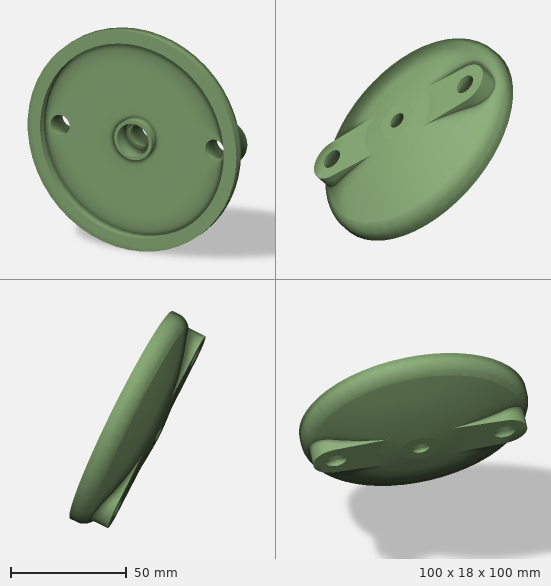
import cadquery as cq
import math

disc_radius = 50.0
rim_height = 3.0
shoulder_radius = 7.0
shoulder_height = 9.1
total_height = 18.0

pocket_diameter = 88.0
pocket_depth = 5.4

boss_diameter = 18.0
boss_height = 4.4
bore_diameter = 15.0
seat_tip_diameter = 10.0
outlet_diameter = 7.4
bore_depth = 8.6
seat_height = 0.7

bar_height = 17.0
bar_end_radius = 10.0
bar_middle_radius = 11.5
hole_spacing = 74.0
hole_diameter = 9.0


def revolve_about_y(profile):
    return profile.close().revolve(360, (0, 0, 0), (0, 1, 0))


def cylinder(diameter, start, end):
    """Cylinder along the Y axis between two Y positions."""
    return cq.Workplane("XZ", origin=(0, start, 0)).circle(diameter / 2).extrude(start - end)


def domed_disc():
    arc_centre_radius = disc_radius - shoulder_radius
    arc_rise = shoulder_height - rim_height
    arc_angle = math.asin(arc_rise / shoulder_radius)
    dome_edge = arc_centre_radius + shoulder_radius * math.cos(arc_angle)
    arc_middle = (
        arc_centre_radius + shoulder_radius * math.cos(arc_angle / 2),
        rim_height + shoulder_radius * math.sin(arc_angle / 2),
    )

    crown_radius = boss_diameter / 2
    dome_rise = total_height - shoulder_height
    dome_centre_y = (crown_radius**2 + total_height**2 - dome_edge**2 - shoulder_height**2) / (2 * dome_rise)
    dome_radius = math.hypot(crown_radius, total_height - dome_centre_y)
    middle_x = (crown_radius + dome_edge) / 2
    dome_middle = (middle_x, dome_centre_y + math.sqrt(dome_radius**2 - middle_x**2))
    profile = (
        cq.Workplane("XY")
        .lineTo(disc_radius, 0)
        .lineTo(disc_radius, rim_height)
        .threePointArc(arc_middle, (dome_edge, shoulder_height))
        .threePointArc(dome_middle, (crown_radius, total_height))
        .lineTo(0, total_height)
    )
    return revolve_about_y(profile)


def crossbar():
    """Round-ended bar whose straight sides widen towards the middle circle."""
    end_x = hole_spacing / 2
    side_angle = math.asin((bar_middle_radius - bar_end_radius) / end_x)
    tangent_x = end_x + bar_end_radius * math.sin(side_angle)
    tangent_z = bar_end_radius * math.cos(side_angle)
    middle_x = bar_middle_radius * math.sin(side_angle)
    middle_z = bar_middle_radius * math.cos(side_angle)
    tip_x = end_x + bar_end_radius
    return (
        cq.Workplane("XZ", origin=(0, pocket_depth, 0))
        .moveTo(middle_x, middle_z)
        .lineTo(tangent_x, tangent_z)
        .threePointArc((tip_x, 0), (tangent_x, -tangent_z))
        .lineTo(middle_x, -middle_z)
        .threePointArc((0, -bar_middle_radius), (-middle_x, -middle_z))
        .lineTo(-tangent_x, -tangent_z)
        .threePointArc((-tip_x, 0), (-tangent_x, tangent_z))
        .lineTo(-middle_x, middle_z)
        .threePointArc((0, bar_middle_radius), (middle_x, middle_z))
        .close()
        .extrude(pocket_depth - bar_height)
    )


def central_bore():
    boss_face = pocket_depth - boss_height
    bore_floor = boss_face + bore_depth
    profile = (
        cq.Workplane("XY")
        .moveTo(0, boss_face)
        .lineTo(bore_diameter / 2, boss_face)
        .lineTo(bore_diameter / 2, bore_floor)
        .lineTo(seat_tip_diameter / 2, bore_floor - seat_height)
        .lineTo(outlet_diameter / 2, total_height)
        .lineTo(0, total_height)
    )
    return revolve_about_y(profile)


body = domed_disc().cut(cylinder(pocket_diameter, 0, pocket_depth))
body = body.union(crossbar())
body = body.union(cylinder(boss_diameter, pocket_depth - boss_height, pocket_depth))
body = body.cut(central_bore())
for side in (-1, 1):
    hole = cylinder(hole_diameter, 0, total_height)
    body = body.cut(hole.translate((side * hole_spacing / 2, 0, 0)))

result = body